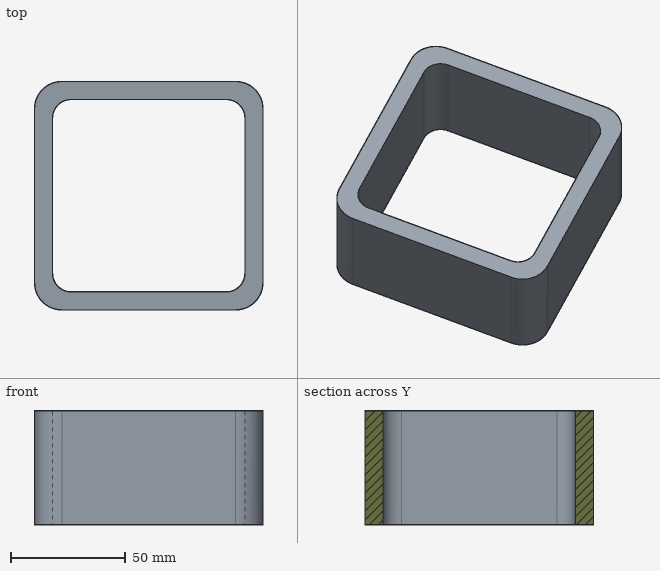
import cadquery as cq

side = 100.0
height = 50.0
wall = 8.0
outer_radius = 12.0
inner_radius = 8.0


def rounded_block(width, corner_radius):
    """Square block standing on the XY plane with rounded vertical edges."""
    block = cq.Workplane("XY").rect(width, width).extrude(height)
    return block.edges("|Z").fillet(corner_radius)


outer_body = rounded_block(side, outer_radius)
opening = rounded_block(side - 2 * wall, inner_radius)

result = outer_body.cut(opening)